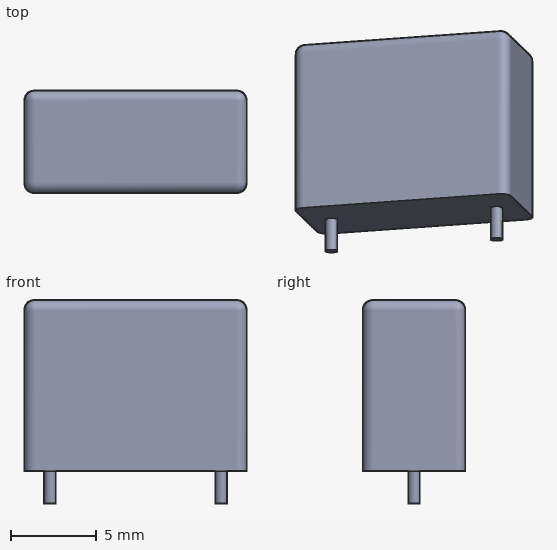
import cadquery as cq

case_length = 13.0
case_width = 6.0
case_height = 10.0
edge_radius = 0.6

lead_pitch = 10.0
lead_diameter = 0.7
lead_length = 1.9


def make_case():
    """Case standing on Z = 0, rounded on its upright and top edges."""
    case = cq.Workplane("XY").box(case_length, case_width, case_height, centered=(True, True, False))
    return case.edges("|Z or >Z").fillet(edge_radius)


def make_leads():
    """Two leads hanging below the case, spaced along X."""
    lead_points = [(side * lead_pitch / 2, 0) for side in (-1, 1)]
    return cq.Workplane("XY").pushPoints(lead_points).circle(lead_diameter / 2).extrude(-lead_length)


result = make_case().union(make_leads())